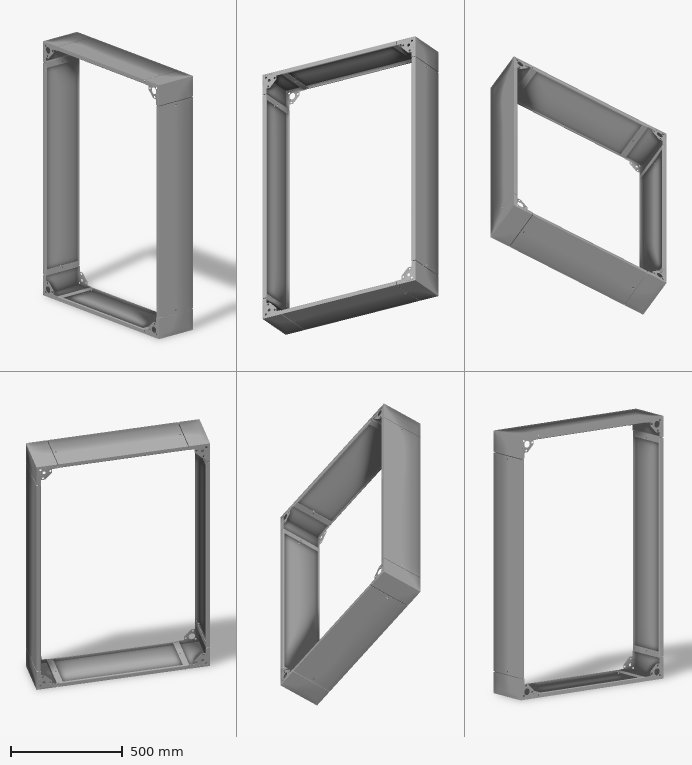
import cadquery as cq

width = 800.0
depth = 200.0
height = 1200.0
sheet = 1.5
flange = 20.0
corner_leg = 97.0
joint_gap = 4.0

lip = 7.0
bend_radius = 4.0

tab_top = 18.0
tab_end = 124.0
tab_side_gap = 1.0
screw_place = 114.0
screw_radius = 4.0

gusset_reach = 72.0
gusset_shoulder = 38.0
main_hole_place = 35.0
front_hole_radius = 15.0
rear_hole_radius = 7.0
small_hole_radius = 5.0
small_hole_near = 18.0
small_hole_low = 30.0
small_hole_far = 64.0

slit_width = 0.5
slit_offset = 8.0
slit_end = 50.0
slit_exit = 60.0


def box(x_range, y_range, z_range):
    """Box between two limits on each axis."""
    sizes = [high - low for low, high in (x_range, y_range, z_range)]
    corner = (x_range[0], y_range[0], z_range[0])
    return cq.Workplane("XY").box(*sizes, centered=False).translate(corner)


def plate(outline, y_start):
    """Sheet-thick plate with an X-Z outline, from y_start toward +Y."""
    return outline.extrude(-sheet).translate((0, y_start, 0))


def slit_cutter():
    """Narrow slit along the miter, beside the outer side and up to the inner flange edge."""
    path = cq.Workplane("XZ").polyline([
        (sheet, sheet),
        (slit_offset, slit_offset),
        (slit_end, slit_offset),
        (slit_exit, flange),
    ])
    return plate(path.offset2D(slit_width / 2), -depth / 2)


def corner_face(hole_radius):
    """Front flange of a corner with its gusset, holes and slit."""
    outline = cq.Workplane("XZ").polyline([
        (0, 0),
        (corner_leg, 0),
        (corner_leg, flange),
        (gusset_reach, flange),
        (gusset_reach, gusset_shoulder),
        (gusset_shoulder, gusset_reach),
        (flange, gusset_reach),
        (flange, corner_leg),
        (0, corner_leg),
    ]).close()
    face = plate(outline, -depth / 2)
    main_hole = cq.Workplane("XZ").center(main_hole_place, main_hole_place).circle(hole_radius)
    small_holes = cq.Workplane("XZ").pushPoints([
        (small_hole_near, small_hole_near),
        (small_hole_low, small_hole_far),
        (small_hole_far, small_hole_low),
    ]).circle(small_hole_radius)
    for holes in (main_hole, small_holes):
        face = face.cut(plate(holes, -depth / 2))
    return face.cut(slit_cutter())


def corner_leg_web():
    """Outer wall of the leg along X, with the raised tab that reaches inside the panel."""
    half_depth = depth / 2
    tab_half = half_depth - sheet - tab_side_gap
    web = box((0, corner_leg), (-half_depth, half_depth), (0, sheet))
    riser = box((corner_leg - sheet, corner_leg), (-tab_half, tab_half), (0, tab_top))
    tab = box((corner_leg - sheet, tab_end), (-tab_half, tab_half), (tab_top - sheet, tab_top))
    screw_hole = cq.Workplane("XY").center(screw_place, 0).circle(screw_radius).extrude(tab_top)
    return web.union(riser).union(tab.cut(screw_hole))


def corner():
    """Corner with its outer edge on the Y axis and its legs along +X and +Z."""
    web = corner_leg_web()
    upright_web = web.rotate((0, 0, 0), (0, 1, 0), -90).mirror("YZ")
    front = corner_face(front_hole_radius)
    rear = corner_face(rear_hole_radius).mirror("XZ")
    return web.union(upright_web).union(front).union(rear)


def panel(frame_length):
    """Lipped channel along X with its outer wall on Z = 0 and its flanges toward +Z."""
    length = frame_length - 2 * (corner_leg + joint_gap)
    x_range = (-length / 2, length / 2)
    outer_half = depth / 2
    inner_half = outer_half - sheet
    mouth_half = outer_half - lip
    channel = box(x_range, (-outer_half, outer_half), (0, flange))
    channel = channel.edges("|X and >Z").fillet(bend_radius)
    hollow = box(x_range, (-inner_half, inner_half), (sheet, flange - sheet))
    hollow = hollow.edges("|X and >Z").fillet(bend_radius - sheet)
    mouth = box(x_range, (-mouth_half, mouth_half), (sheet, flange))
    screw_x = frame_length / 2 - screw_place
    screw_holes = cq.Workplane("XY").pushPoints([(-screw_x, 0), (screw_x, 0)]).circle(screw_radius)
    return channel.cut(hollow).cut(mouth).cut(screw_holes.extrude(sheet))


def turned(body, angle):
    """Body turned about the Y axis through the frame's centre."""
    return body.rotate((0, 0, 0), (0, 1, 0), angle)


corners = []
for turn, x_side, z_side in ((0, -1, -1), (90, -1, 1), (180, 1, 1), (270, 1, -1)):
    place = (x_side * width / 2, 0, z_side * height / 2)
    corners.append(turned(corner(), turn).translate(place))

panels = []
for frame_length, frame_span, first_turn in ((width, height, 0), (height, width, 90)):
    for turn in (first_turn, first_turn + 180):
        panels.append(turned(panel(frame_length).translate((0, 0, -frame_span / 2)), turn))

result = cq.Compound.makeCompound([body.val() for body in corners + panels])